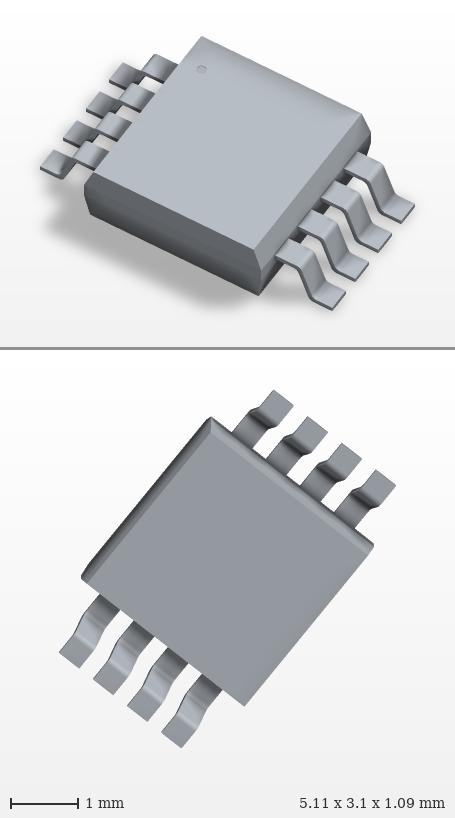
import cadquery as cq
import math

span = 5.11
body_size = 3.1
body_height = 1.09

belt_bottom = 0.47
belt_top = 0.71
top_inset_x = 0.15
top_inset_y = 0.025
bottom_inset_x = 0.075
bottom_inset_y = 0.05

marker_diameter = 0.155
marker_depth = 0.01
marker_from_side = 0.49
marker_from_back = 0.57

leads_per_side = 4
lead_pitch = 0.65
lead_width = 0.385
lead_thickness = 0.08
shoulder_top = 0.67
foot_corner = 0.335
shoulder_corner = 0.555
bend_radius = 0.095

half_span = span / 2
half_body = body_size / 2


def tapered_half(belt_height, end_height, inset_x, inset_y):
    """Frustum from the full belt outline to a smaller outer face."""
    return (
        cq.Workplane("XY", origin=(0, 0, belt_height))
        .rect(body_size, body_size)
        .workplane(offset=end_height - belt_height)
        .rect(body_size - 2 * inset_x, body_size - 2 * inset_y)
        .loft(ruled=True)
    )


def make_body():
    belt = (
        cq.Workplane("XY", origin=(0, 0, belt_bottom))
        .rect(body_size, body_size)
        .extrude(belt_top - belt_bottom)
    )
    upper = tapered_half(belt_top, body_height, top_inset_x, top_inset_y)
    lower = tapered_half(belt_bottom, 0, bottom_inset_x, bottom_inset_y)
    marker_place = (marker_from_side - half_body, half_body - marker_from_back, body_height)
    marker = (
        cq.Workplane("XY", origin=marker_place)
        .circle(marker_diameter / 2)
        .extrude(-marker_depth)
    )
    return belt.union(upper).union(lower).cut(marker)


def make_lead(center_y):
    """Lead on the -X side, of even thickness along foot, slope and shoulder."""
    shoulder_bottom = shoulder_top - lead_thickness
    slope_angle = math.atan2(shoulder_bottom, shoulder_corner - foot_corner)
    corner_shift = lead_thickness * math.tan(slope_angle / 2)
    toe_x = -half_span
    foot_x = toe_x + foot_corner
    shoulder_x = toe_x + shoulder_corner
    outline = [
        (toe_x, 0),
        (foot_x + corner_shift, 0),
        (shoulder_x + corner_shift, shoulder_bottom),
        (-half_body, shoulder_bottom),
        (-half_body, shoulder_top),
        (shoulder_x, shoulder_top),
        (foot_x, lead_thickness),
        (toe_x, lead_thickness),
    ]
    blank = (
        cq.Workplane("XZ", origin=(0, center_y + lead_width / 2, 0))
        .polyline(outline)
        .close()
        .extrude(lead_width)
    )
    bend_edges = cq.selectors.BoxSelector(
        (foot_x - lead_thickness, center_y - lead_width, -lead_thickness),
        (shoulder_x + 2 * lead_thickness, center_y + lead_width, body_height),
    )
    return blank.edges("|Y").edges(bend_edges).fillet(bend_radius)


body = make_body()

leads = []
for index in range(leads_per_side):
    lead_y = (index - (leads_per_side - 1) / 2) * lead_pitch
    lead = make_lead(lead_y)
    leads.append(lead.val())
    leads.append(lead.mirror("YZ").val())

result = cq.Compound.makeCompound([body.val(), *leads])